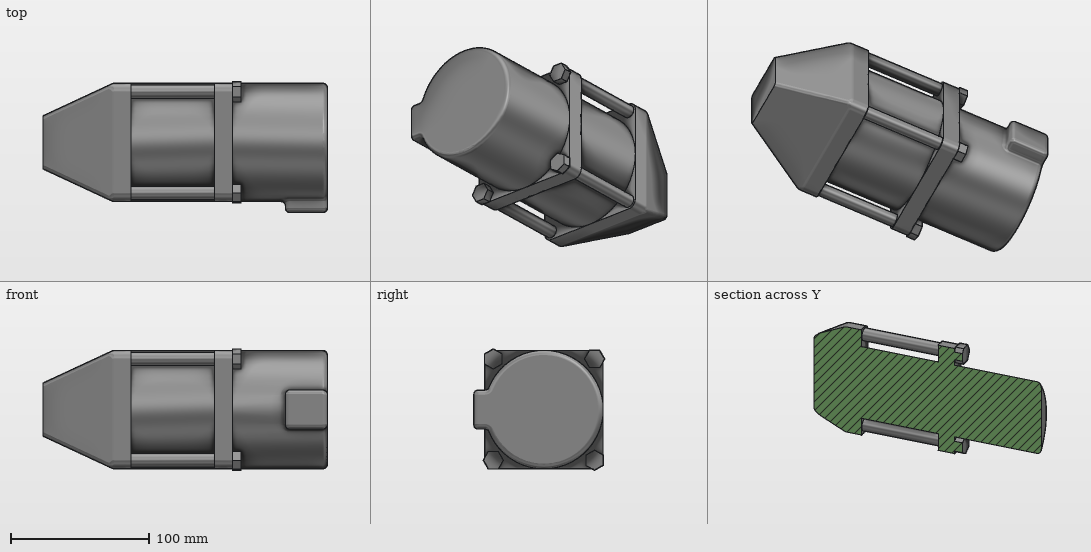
import cadquery as cq
import math

total_length = 205.74
block_width = 85.725
body_radius = block_width / 2

pyramid_end = 50.8
front_block_end = 63.5
rear_plate_start = 124.0
rear_plate_end = 137.0

rod_offset = 36.64
rod_diameter = 9.525
head_across_corners = 14.66
head_thickness = 6.35

nose_width = 38.5
block_corner_radius = body_radius - rod_offset
ridge_radius = 3.175
rim_radius = 4.4
rim_search_depth = 3.0

box_length = 30.5
box_height = 28.3
box_reach = 50.75
box_radius = 3.175
rear_end_radius = 3.6


def rounded_block(x_start, x_end):
    """Square block along X with rounded long edges."""
    return (
        cq.Workplane("YZ", origin=(x_start, 0, 0))
        .rect(block_width, block_width)
        .extrude(x_end - x_start)
        .edges("|X")
        .fillet(block_corner_radius)
    )


def tapered_nose():
    """Front block whose forward part tapers as a pyramid with rounded ridges."""
    width_gain = (block_width - nose_width) / pyramid_end
    base_width = nose_width + width_gain * front_block_end
    pyramid = (
        cq.Workplane("YZ")
        .rect(nose_width, nose_width)
        .workplane(offset=front_block_end)
        .rect(base_width, base_width)
        .loft(ruled=True)
        .edges("not(|Y or |Z)")
        .fillet(ridge_radius)
    )
    nose = pyramid.intersect(rounded_block(0, front_block_end))
    rim = cq.selectors.BoxSelector(
        (pyramid_end - rim_search_depth, -block_width, -block_width),
        (pyramid_end + rim_search_depth, block_width, block_width),
    )
    return nose.edges(rim).fillet(rim_radius)


def terminal_box():
    """Box reaching from the axis out to -Y, rounded on all but its rear face."""
    return (
        cq.Workplane("XY", origin=(total_length - box_length, -box_reach, 0))
        .box(box_length, box_reach, box_height, centered=(False, False, True))
        .edges("(<X and |Y) or (<Y and (not >X))")
        .fillet(box_radius)
    )


def motor_body():
    """Round body with the terminal box blended into its rear end."""
    cylinder = (
        cq.Workplane("YZ", origin=(front_block_end, 0, 0))
        .circle(body_radius)
        .extrude(total_length - front_block_end)
    )
    motor = cylinder.union(terminal_box())
    seam_depth = body_radius - math.sqrt(body_radius**2 - (box_height / 2) ** 2)
    tolerance = 0.1
    seam = cq.selectors.BoxSelector(
        (total_length - box_length - tolerance, -body_radius - tolerance, -box_height),
        (total_length - tolerance, -body_radius + seam_depth + tolerance, box_height),
    )
    motor = motor.edges(seam).edges("not |Y").fillet(box_radius)
    return motor.faces(">X").edges().fillet(rear_end_radius)


def tie_rod(y_side, z_side):
    """Rod from the front block to the rear plate, with its head behind the plate."""
    y = y_side * rod_offset
    z = z_side * rod_offset
    rod = (
        cq.Workplane("YZ", origin=(front_block_end, y, z))
        .circle(rod_diameter / 2)
        .extrude(rear_plate_end - front_block_end)
    )
    turn = 0 if y_side == z_side else 90
    head = (
        cq.Workplane("YZ", origin=(rear_plate_end, y, z))
        .transformed(rotate=(0, 0, turn))
        .polygon(6, head_across_corners)
        .extrude(head_thickness)
    )
    return rod.union(head)


result = motor_body().union(tapered_nose())
result = result.union(rounded_block(rear_plate_start, rear_plate_end))
for y_side in (-1, 1):
    for z_side in (-1, 1):
        result = result.union(tie_rod(y_side, z_side))